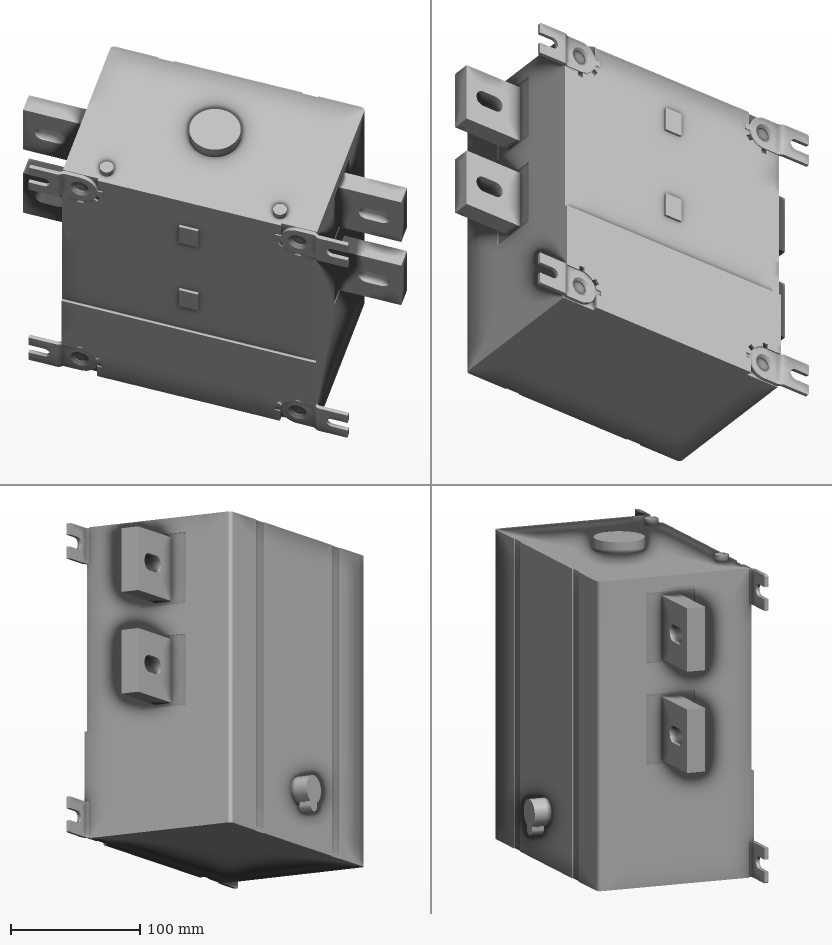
import cadquery as cq

total_width = 306.0
total_depth = 146.0
total_height = 254.5

body_width = 205.5
body_height = 245.0
body_front = 3.0
body_back = 132.0
back_edge_radius = 3.0
groove_offset = 58.0
groove_width = 12.5
groove_depth = 1.0

cover_height = 84.5
raised_front = 1.0
plate_width = 15.3
plate_height = 20.2

bar_y = 70.7
bar_thickness = 15.0
bar_height = 50.2
bar_drop = 40.5
bar_pitch = 80.2
bar_slot_length = 25.0
bar_slot_width = 13.5
bar_slot_inset = 22.0
recess_depth = 1.0
recess_thickness = 40.5
recess_height = 56.0

cap_diameter = 39.8
pin_diameter = 10.7
pin_height = 5.2
pin_x = 70.0
pin_y = 14.0

knob_diameter = 22.0
knob_z = 42.2
pointer_width = 9.8
pointer_length = 10.0
pointer_tip_z = 24.8

lug_inset = 14.7
lug_radius = 14.0
lug_thickness = 3.0
lug_step = 2.0
lug_end_x = 129.0
lug_corner_radius = 1.2
step_outer_x = 106.0
step_inner_x = 100.5
lug_slot_width = 9.5
lug_slot_bottom_x = 112.0
lug_hole_diameter = 11.3
lug_countersink_diameter = 16.2
lug_countersink_depth = 2.0
tooth_reach = 18.0
tooth_width = 5.0
tooth_angles = (0, 33, 90)

half_width = body_width / 2
mid_height = body_height / 2
lug_x = half_width - lug_inset
lug_z = lug_inset
seat_y = lug_step + lug_thickness
upper_bar_z = body_height - bar_drop
bar_heights = (upper_bar_z, upper_bar_z - bar_pitch)


def box(x_range, y_range, z_range):
    """Box between the given limits along each axis."""
    sizes = [high - low for low, high in (x_range, y_range, z_range)]
    corner = (x_range[0], y_range[0], z_range[0])
    return cq.Workplane("XY").box(*sizes, centered=False).translate(corner)


def cylinder_y(x, z, diameter, y_start, y_end):
    """Cylinder along +Y."""
    solid = cq.Solid.makeCylinder(
        diameter / 2, y_end - y_start, cq.Vector(x, y_start, z), cq.Vector(0, 1, 0)
    )
    return cq.Workplane(solid)


def cylinder_z(x, y, diameter, z_start, z_end):
    """Cylinder along +Z."""
    solid = cq.Solid.makeCylinder(diameter / 2, z_end - z_start, cq.Vector(x, y, z_start))
    return cq.Workplane(solid)


def at_four_corners(shape):
    """Repeat a lower +X corner shape at all four front corners."""
    lower = shape.union(shape.mirror("YZ"))
    return lower.union(lower.mirror("XY", (0, 0, mid_height)))


def make_housing():
    housing = box((-half_width, half_width), (body_front, body_back), (0, body_height))
    housing = housing.edges("|Z and >Y").fillet(back_edge_radius)
    for x in (-groove_offset, groove_offset):
        housing = housing.cut(
            box(
                (x - groove_width / 2, x + groove_width / 2),
                (body_back - groove_depth, body_back),
                (0, body_height),
            )
        )
    front_layer = (raised_front, body_front)
    housing = housing.union(box((-half_width, half_width), front_layer, (0, cover_height)))
    for z in bar_heights:
        housing = housing.union(
            box(
                (-plate_width / 2, plate_width / 2),
                front_layer,
                (z - plate_height / 2, z + plate_height / 2),
            )
        )
    return housing


def make_terminal_recess(z):
    """Shallow recesses on both sides around one terminal bar."""
    y_range = (bar_y - recess_thickness / 2, bar_y + recess_thickness / 2)
    z_range = (z - recess_height / 2, z + recess_height / 2)
    right = box((half_width - recess_depth, half_width), y_range, z_range)
    return right.union(right.mirror("YZ"))


def make_terminal_bar(z):
    """Bar running through the housing, slotted at both ends."""
    slot_x = total_width / 2 - bar_slot_inset
    bar = cq.Workplane("XY").box(total_width, bar_thickness, bar_height)
    slots = (
        cq.Workplane("XZ")
        .pushPoints([(-slot_x, 0), (slot_x, 0)])
        .slot2D(bar_slot_length, bar_slot_width)
        .extrude(bar_thickness, both=True)
    )
    return bar.cut(slots).translate((0, bar_y, z))


def make_tooth(angle, y_range):
    """Radial bar from the lug hole axis, turned from -X towards +Z."""
    tooth = box((-tooth_reach, 0), y_range, (-tooth_width / 2, tooth_width / 2))
    return tooth.rotate((0, 0, 0), (0, 1, 0), angle).translate((lug_x, 0, lug_z))


def make_lug_pocket():
    """Seat for one lug: open to the corner, with notches around its round end."""
    y_range = (0, seat_y)
    pocket = cylinder_y(lug_x, lug_z, 2 * lug_radius, *y_range)
    pocket = pocket.union(box((lug_x - lug_radius, half_width), y_range, (0, lug_z)))
    pocket = pocket.union(box((lug_x, half_width), y_range, (0, lug_z + lug_radius)))
    for angle in tooth_angles:
        pocket = pocket.union(make_tooth(angle, y_range))
    return pocket


def make_lug():
    """Stepped strap with a round keyed inner end, a countersunk hole and an open slot."""
    bottom = lug_z - lug_radius
    top = lug_z + lug_radius
    inner_x = lug_x - lug_radius
    bend_x = (step_outer_x + step_inner_x) / 2
    bend_y = lug_step / 2
    strap = (
        cq.Workplane("XY")
        .moveTo(lug_end_x, 0)
        .lineTo(step_outer_x, 0)
        .tangentArcPoint((bend_x, bend_y), relative=False)
        .tangentArcPoint((step_inner_x, lug_step), relative=False)
        .lineTo(inner_x, lug_step)
        .lineTo(inner_x, seat_y)
        .lineTo(step_inner_x, seat_y)
        .tangentArcPoint((bend_x, bend_y + lug_thickness), relative=False)
        .tangentArcPoint((step_outer_x, lug_thickness), relative=False)
        .lineTo(lug_end_x, lug_thickness)
        .close()
        .extrude(top - bottom)
        .translate((0, 0, bottom))
    )
    strap = strap.edges("|Y and >X and <Z").fillet(lug_corner_radius)
    rounded_end = cylinder_y(lug_x, lug_z, 2 * lug_radius, 0, seat_y)
    outline = rounded_end.union(box((lug_x, lug_end_x), (0, seat_y), (bottom, top)))
    strap = strap.intersect(outline)
    strap = strap.union(make_tooth(tooth_angles[0], (lug_step, seat_y)))

    slot_end_x = lug_slot_bottom_x + lug_slot_width / 2
    slot = cylinder_y(slot_end_x, lug_z, lug_slot_width, 0, lug_thickness)
    slot = slot.union(
        box(
            (slot_end_x, lug_end_x),
            (0, lug_thickness),
            (lug_z - lug_slot_width / 2, lug_z + lug_slot_width / 2),
        )
    )
    hole = cylinder_y(lug_x, lug_z, lug_hole_diameter, lug_step, seat_y)
    countersink = cq.Workplane(
        cq.Solid.makeCone(
            lug_countersink_diameter / 2,
            lug_hole_diameter / 2,
            lug_countersink_depth,
            cq.Vector(lug_x, lug_step, lug_z),
            cq.Vector(0, 1, 0),
        )
    )
    return strap.cut(slot).cut(hole).cut(countersink)


def make_knob():
    """Rear knob with a round-tipped pointer hanging from its outer end."""
    pointer_start = total_depth - pointer_length
    tip_center_z = pointer_tip_z + pointer_width / 2
    knob = cylinder_y(0, knob_z, knob_diameter, body_back, total_depth)
    tip = cylinder_y(0, tip_center_z, pointer_width, pointer_start, total_depth)
    neck = box(
        (-pointer_width / 2, pointer_width / 2),
        (pointer_start, total_depth),
        (tip_center_z, knob_z),
    )
    return knob.union(neck).union(tip)


result = make_housing().cut(at_four_corners(make_lug_pocket()))
for bar_z in bar_heights:
    result = result.cut(make_terminal_recess(bar_z)).union(make_terminal_bar(bar_z))
result = result.union(at_four_corners(make_lug()))
result = result.union(cylinder_z(0, bar_y, cap_diameter, body_height, total_height))
for x in (-pin_x, pin_x):
    result = result.union(cylinder_z(x, pin_y, pin_diameter, body_height, body_height + pin_height))
result = result.union(make_knob())